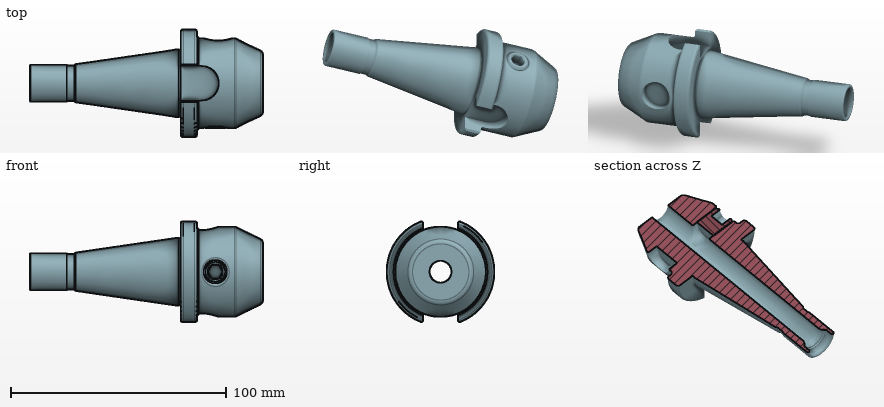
import cadquery as cq
import math

LENGTH = 108.4

TAIL_RADIUS = 8.7
TAIL_END = 17.2
TAIL_FILLET = 0.7
GROOVE_RADIUS = 8.3
GROOVE_END = 20.6

TAPER_RATE = 7 / 24
TAPER_END = 68.8
TAPER_LARGE_RADIUS = 31.8 / 2
TAPER_CHAMFER = 0.7
TAPER_START = GROOVE_END + TAPER_CHAMFER
TAPER_SMALL_RADIUS = TAPER_LARGE_RADIUS - TAPER_RATE * (TAPER_END - TAPER_START) / 2

RELIEF_START = 69.2
RELIEF_RADIUS = 15.6

FLANGE_START = 70.0
FLANGE_END = 77.7
FLANGE_RADIUS = 50.2 / 2
FLANGE_FILLET = 1.3

HEAD_RADIUS = 21.0
HEAD_ROOT_CHAMFER = 0.9
CONE_START = 95.3
CONE_ANGLE = 26.0
CONE_BLEND = 1.6
NOSE_RADIUS = HEAD_RADIUS - (LENGTH - CONE_START) * math.tan(math.radians(CONE_ANGLE))
NOSE_FILLET = 2.5

SLOT_WIDTH = 16.0
SLOT_TIP = 87.8
SLOT_FLOOR = TAPER_LARGE_RADIUS
SLOT_CHAMFER = 1.0

BORE_RADIUS = 10.1 / 2
MOUTH_RADIUS = 6.9
MOUTH_CHAMFER = 0.5
MOUTH_DEPTH = 4.0
STEP_RADIUS = 12.7 / 2
STEP_DEPTH = 4.9
LEAD_RADIUS = 11.4 / 2
LEAD_START = 5.2
LEAD_END = 6.4

SCREW_X = 86.2
SCREW_RADIUS = 5.4
SCREW_HEAD_Y = -20.8
SCREW_LENGTH = 13.0
SCREW_CHAMFER = 0.9
SCREW_HOLE_FILLET = 1.0
SOCKET_FLATS = 6.0
SOCKET_DEPTH = 5.4
SOCKET_ENTRY_ANGLE = 45.0
SOCKET_CHAMFER_RADIUS = 3.6

RECESS_X = 87.5
RECESS_RADIUS = 6.8
RECESS_DEPTH = 5.4


def turned(points):
    """Solid of revolution about X from an outline of (x, radius) points."""
    return cq.Workplane("XZ").polyline(points).close().revolve(360, (0, 0, 0), (1, 0, 0))


def rims_at(solid, x):
    """Circular edges centred on the X axis at the given x."""
    margin = 0.05
    box = cq.selectors.BoxSelector((x - margin, -margin, -margin), (x + margin, margin, margin))
    return solid.edges(box)


def make_shank():
    shank = turned([
        (0, 0),
        (0, TAIL_RADIUS),
        (TAIL_END, TAIL_RADIUS),
        (TAIL_END, GROOVE_RADIUS),
        (GROOVE_END, GROOVE_RADIUS),
        (TAPER_START, TAPER_SMALL_RADIUS),
        (TAPER_END, TAPER_LARGE_RADIUS),
        (RELIEF_START, TAPER_LARGE_RADIUS),
        (RELIEF_START, RELIEF_RADIUS),
        (FLANGE_START, RELIEF_RADIUS),
        (FLANGE_START, 0),
    ])
    return rims_at(shank, 0).fillet(TAIL_FILLET)


def make_flange():
    flange = turned([
        (FLANGE_START, 0),
        (FLANGE_START, FLANGE_RADIUS),
        (FLANGE_END, FLANGE_RADIUS),
        (FLANGE_END, 0),
    ])
    flange = rims_at(flange, FLANGE_START).fillet(FLANGE_FILLET)
    return rims_at(flange, FLANGE_END).fillet(FLANGE_FILLET)


def make_head():
    head = turned([
        (FLANGE_END, 0),
        (FLANGE_END, HEAD_RADIUS + HEAD_ROOT_CHAMFER),
        (FLANGE_END + HEAD_ROOT_CHAMFER, HEAD_RADIUS),
        (CONE_START, HEAD_RADIUS),
        (LENGTH, NOSE_RADIUS),
        (LENGTH, 0),
    ])
    head = rims_at(head, CONE_START).fillet(CONE_BLEND)
    return rims_at(head, LENGTH).fillet(NOSE_FILLET)


def make_drive_slot(side):
    """Round-ended slot cutter with bevelled flange corners; side is +1 above the axis, -1 below."""
    half = SLOT_WIDTH / 2
    floor = cq.Workplane("XY").workplane(offset=side * SLOT_FLOOR)
    slot = (
        floor.moveTo(FLANGE_START, -half)
        .lineTo(SLOT_TIP - half, -half)
        .threePointArc((SLOT_TIP, 0), (SLOT_TIP - half, half))
        .lineTo(FLANGE_START, half)
        .close()
        .extrude(side * FLANGE_RADIUS)
    )
    corner = math.sqrt(FLANGE_RADIUS**2 - half**2)
    rim_angle = math.asin(half / FLANGE_RADIUS)
    bevel_y = half + SLOT_CHAMFER * math.cos(rim_angle)
    bevel_z = corner - SLOT_CHAMFER * math.sin(rim_angle)
    wall_z = corner - SLOT_CHAMFER
    bevel = (
        cq.Workplane("YZ", origin=(FLANGE_START, 0, 0))
        .polyline([
            (-half, side * wall_z),
            (half, side * wall_z),
            (bevel_y, side * bevel_z),
            (bevel_y, side * FLANGE_RADIUS),
            (-bevel_y, side * FLANGE_RADIUS),
            (-bevel_y, side * bevel_z),
        ])
        .close()
        .extrude(FLANGE_END - FLANGE_START)
    )
    return slot.union(bevel)


def make_bore():
    """Through bore, stepping down from the mouth counterbore and through a conical lead-in."""
    return turned([
        (0, 0),
        (0, MOUTH_RADIUS + MOUTH_CHAMFER),
        (MOUTH_CHAMFER, MOUTH_RADIUS),
        (MOUTH_DEPTH, MOUTH_RADIUS),
        (MOUTH_DEPTH, STEP_RADIUS),
        (STEP_DEPTH, STEP_RADIUS),
        (STEP_DEPTH, LEAD_RADIUS),
        (LEAD_START, LEAD_RADIUS),
        (LEAD_END, BORE_RADIUS),
        (LENGTH, BORE_RADIUS),
        (LENGTH, 0),
    ])


def radial_plane(y):
    """Workplane facing -Y, centred on the screw axis at the given y."""
    return cq.Workplane("XZ", origin=(SCREW_X, y, 0))


def make_balance_recess():
    """Flat-bottomed blind hole opposite the screw."""
    floor_y = HEAD_RADIUS - RECESS_DEPTH
    floor = cq.Workplane("XZ", origin=(RECESS_X, floor_y, 0))
    return floor.circle(RECESS_RADIUS).extrude(-HEAD_RADIUS)


def drill_screw_hole(holder):
    """Radial hole down to the bore, with its mouth rounded where it meets the head."""
    drill = radial_plane(0).circle(SCREW_RADIUS).extrude(FLANGE_RADIUS)
    holder = holder.cut(drill)
    mouth_box = cq.selectors.BoxSelector(
        (SCREW_X - SCREW_RADIUS, -FLANGE_RADIUS, -SCREW_RADIUS),
        (SCREW_X + SCREW_RADIUS, -HEAD_RADIUS / 2, SCREW_RADIUS),
    )
    return holder.edges(mouth_box).edges("not #X").fillet(SCREW_HOLE_FILLET)


def make_holder():
    holder = make_shank().union(make_flange()).union(make_head())
    for side in (1, -1):
        holder = holder.cut(make_drive_slot(side))
    holder = holder.cut(make_bore()).cut(make_balance_recess())
    return drill_screw_hole(holder)


def make_screw():
    """Set screw with a chamfered outer end and a countersunk hexagon socket."""
    screw = radial_plane(SCREW_HEAD_Y).circle(SCREW_RADIUS).extrude(-SCREW_LENGTH)
    screw = screw.faces("<Y").chamfer(SCREW_CHAMFER)
    socket = (
        radial_plane(SCREW_HEAD_Y)
        .polygon(6, SOCKET_FLATS / math.cos(math.pi / 6))
        .extrude(-SOCKET_DEPTH)
    )
    entry = (
        radial_plane(SCREW_HEAD_Y)
        .circle(SOCKET_CHAMFER_RADIUS)
        .extrude(-SOCKET_FLATS / 2, taper=SOCKET_ENTRY_ANGLE)
    )
    return screw.cut(socket).cut(entry)


holder = make_holder()
screw = make_screw()
result = cq.Compound.makeCompound([holder.solids().val(), screw.solids().val()])